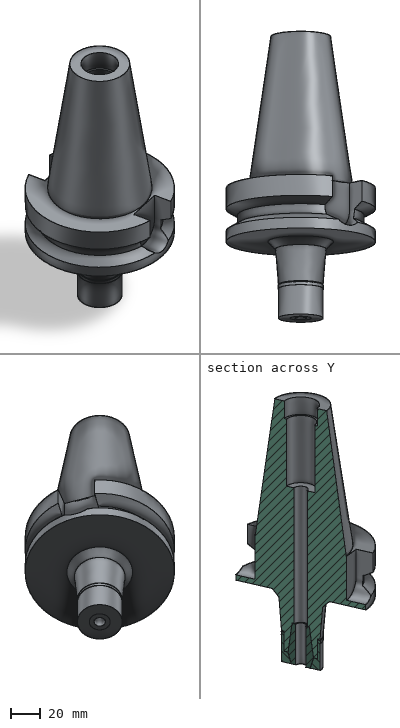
import cadquery as cq
import math


gauge_radius = 69.85 / 2
taper_length = 101.8
taper_ratio = 7 / 24
taper_end_radius = gauge_radius - taper_length * taper_ratio / 2
chuck_bottom = -90.0

flange_radius = 50.0
flange_top = -1.5
flange_bottom = -38.0
groove_center = -23.2
groove_floor_radius = 42.5
groove_floor_half_width = 3.2
groove_wall_angle = 30
groove_mouth_half_width = (
    groove_floor_half_width
    + (flange_radius - groove_floor_radius) * math.tan(math.radians(groove_wall_angle))
)

slot_width = 25.7
slot_floor_x = 35.4
slot_bottom = -33.8

neck_cone_height = 5.0
neck_top_radius = 17.0
neck_cone_radius = neck_top_radius + neck_cone_height
neck_bottom_radius = 15.0
neck_bottom = -67.2

pilot_radius = 12.5
pilot_depth = 12.8
thread_radius = 10.75
thread_depth = 62.0
coolant_radius = 4.9

nut_radius = 15.0
collar_radius = 15.2
nut_gap = 0.6
nut_top = neck_bottom - nut_gap
collar_height = 2.2
collar_bottom = nut_top - collar_height

nose_radius = 13.0
nut_lip_height = 8.0
nose_bottom = chuck_bottom + nut_lip_height

collet_top = -60.0
collet_bore_radius = 3.75
collet_top_radius = 6.5
collet_angle = 8
collet_max_radius = collet_top_radius + (collet_top - nose_bottom) * math.tan(math.radians(collet_angle))
collet_front_radius = 7.0


def revolve_profile(points):
    """Turn a closed (radius, z) outline about the Z axis."""
    return cq.Workplane("XZ").polyline(points).close().revolve(360, (0, 0), (0, 1))


def make_drive_slot():
    """Round-bottomed slot cutter, open at the flange top and at the +X rim."""
    round_radius = slot_width / 2
    round_center = slot_bottom + round_radius
    return (
        cq.Workplane("YZ", origin=(slot_floor_x, 0, 0))
        .moveTo(-round_radius, flange_top)
        .lineTo(-round_radius, round_center)
        .threePointArc((0, slot_bottom), (round_radius, round_center))
        .lineTo(round_radius, flange_top)
        .close()
        .extrude(flange_radius - slot_floor_x)
    )


def make_chuck_body():
    outside_points = [
        (taper_end_radius, taper_length),
        (gauge_radius, 0),
        (gauge_radius, flange_top),
        (flange_radius, flange_top),
        (flange_radius, groove_center + groove_mouth_half_width),
        (groove_floor_radius, groove_center + groove_floor_half_width),
        (groove_floor_radius, groove_center - groove_floor_half_width),
        (flange_radius, groove_center - groove_mouth_half_width),
        (flange_radius, flange_bottom),
        (neck_cone_radius, flange_bottom),
        (neck_top_radius, flange_bottom - neck_cone_height),
        (neck_bottom_radius, neck_bottom),
        (nose_radius, neck_bottom),
        (nose_radius, nose_bottom),
    ]
    bore_points = [
        (collet_max_radius, nose_bottom),
        (collet_top_radius, collet_top),
        (coolant_radius, collet_top),
        (coolant_radius, taper_length - thread_depth),
        (thread_radius, taper_length - thread_depth),
        (thread_radius, taper_length - pilot_depth),
        (pilot_radius, taper_length - pilot_depth),
        (pilot_radius, taper_length),
    ]
    body = revolve_profile(outside_points + bore_points)
    for turn in (0, 180):
        body = body.cut(make_drive_slot().rotate((0, 0, 0), (0, 0, 1), turn))
    return body


def make_nut():
    return revolve_profile([
        (nose_radius, nut_top),
        (collar_radius, nut_top),
        (collar_radius, collar_bottom),
        (nut_radius, collar_bottom),
        (nut_radius, chuck_bottom),
        (collet_front_radius, chuck_bottom),
        (collet_max_radius, nose_bottom),
        (nose_radius, nose_bottom),
    ])


def make_collet():
    return revolve_profile([
        (collet_bore_radius, collet_top),
        (collet_top_radius, collet_top),
        (collet_max_radius, nose_bottom),
        (collet_front_radius, chuck_bottom),
        (collet_bore_radius, chuck_bottom),
    ])


chuck_body = make_chuck_body()
nut = make_nut()
collet = make_collet()

result = cq.Compound.makeCompound([chuck_body.val(), nut.val(), collet.val()])